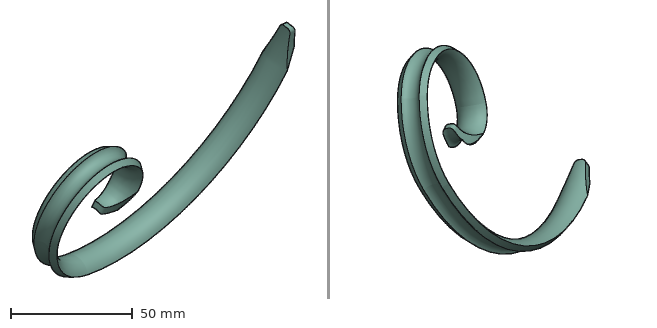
import cadquery as cq
import math


WIDTH = 14.0
THICKNESS = 5.6
RIM_SPACING = 8.5
BEVEL_DROP = 1.9
GROOVE_DEPTH = 2.7

TAIL_CENTER_Y = -7.7
TAIL_CENTER_Z = 54.7
TAIL_START_ANGLE = 204.0
PATH_ARCS = [
    (89.0, 300.6),
    (36.7, 360.8),
    (25.1, 518.0),
    (12.3, 668.0),
]

TAPER_LENGTH = 19.0
TIP_WIDTH = 5.2
TAPER_HOLLOW = 0.5
TIP_CORNER_RADIUS = 2.0
TAPER_STEPS = 6
TAPER_STEPS_BEYOND = 1
CUT_MARGIN = 3.0

HALF_WIDTH = WIDTH / 2
OUTER = THICKNESS / 2
CUT_REACH = OUTER + CUT_MARGIN


def radial_plane(center, angle):
    """Plane through center: local x is radial, local y is +X, the normal runs along the path."""
    a = math.radians(angle)
    return cq.Plane(
        origin=(0, center[0], center[1]),
        xDir=(0, -math.cos(a), math.sin(a)),
        normal=(0, math.sin(a), math.cos(a)),
    )


def radial_point(center, distance, angle):
    """Point at the given distance from center along the radial direction at angle."""
    a = math.radians(angle)
    return (center[0] - distance * math.cos(a), center[1] + distance * math.sin(a))


def arc_segment(center, radius, start_angle, end_angle):
    """Section revolved about an X-parallel axis through center."""
    rim = radius + OUTER
    half_rim = RIM_SPACING / 2
    plane = radial_plane(center, start_angle)
    return (
        cq.Workplane(plane)
        .moveTo(rim, -half_rim)
        .threePointArc((rim - GROOVE_DEPTH, 0), (rim, half_rim))
        .lineTo(rim - BEVEL_DROP, HALF_WIDTH)
        .threePointArc((radius - OUTER, 0), (rim - BEVEL_DROP, -HALF_WIDTH))
        .close()
        .revolve(end_angle - start_angle, (0, 0), (0, -1))
    )


def side_taper_cutter(center, radius, end_angle, inward, side):
    """Waste beside one end: its inner wall closes in, slightly hollow, with distance along the arc."""
    outside = HALF_WIDTH + CUT_MARGIN
    half_tip = TIP_WIDTH / 2
    sections = []
    for i in range(-TAPER_STEPS_BEYOND, TAPER_STEPS + TAPER_STEPS_BEYOND + 1):
        share = i / TAPER_STEPS
        angle = end_angle + inward * math.degrees(share * TAPER_LENGTH / radius)
        straight_wall = half_tip + share * (HALF_WIDTH - half_tip)
        wall = straight_wall - 4 * TAPER_HOLLOW * share * (1 - share)
        wire = (
            cq.Workplane(radial_plane(center, angle))
            .center(radius, side * (wall + outside) / 2)
            .rect(2 * CUT_REACH, outside - wall)
            .wires()
            .val()
        )
        sections.append(wire)
    return cq.Workplane(cq.Solid.makeLoft(sections))


def finish_end(body, center, radius, end_angle, inward):
    """Taper both sides of an end and round its corners; inward is the turning sense into the part."""
    for side in (-1, 1):
        body = body.cut(side_taper_cutter(center, radius, end_angle, inward, side))
    end_middle = (0, *radial_point(center, radius, end_angle))
    end_face = body.faces(cq.selectors.NearestToPointSelector(end_middle))
    return end_face.edges("<X or >X").fillet(TIP_CORNER_RADIUS)


center = (TAIL_CENTER_Y, TAIL_CENTER_Z)
radius = PATH_ARCS[0][0]
start_angle = TAIL_START_ANGLE
curl_end_angle = PATH_ARCS[-1][1]
result = cq.Workplane()
for next_radius, end_angle in PATH_ARCS:
    center = radial_point(center, radius - next_radius, start_angle)
    radius = next_radius
    segment = arc_segment(center, radius, start_angle, end_angle)
    if start_angle == TAIL_START_ANGLE:
        segment = finish_end(segment, center, radius, start_angle, 1)
    if end_angle == curl_end_angle:
        segment = finish_end(segment, center, radius, end_angle, -1)
    result = result.add(segment)
    start_angle = end_angle
result = cq.Workplane(result.combine().solids().val())